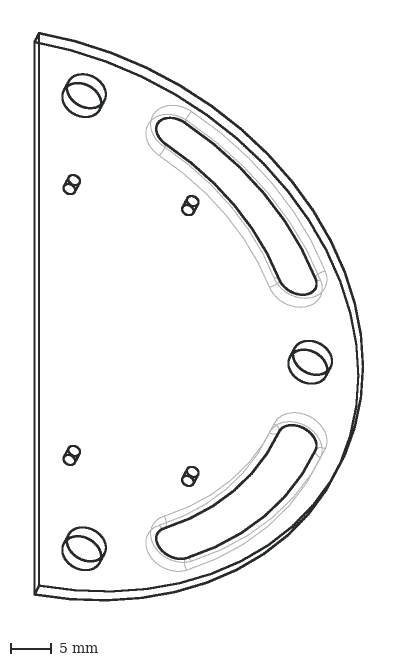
import cadquery as cq
import math

plate_radius = 41.5
thickness = 2.0

mount_diameter = 5.0
mount_corner_x = 6.1
mount_corner_z = 34.0
mount_rim_x = 35.0

pin_diameter = 1.5
pin_columns = (4.5, 19.7)
pin_z = 20.3

slot_path_radius = 35.5
slot_start_angle = 20.0
slot_end_angle = 60.0
slot_neck_width = 5.0
wall_radius = thickness / 2
slot_face_width = slot_neck_width + 2 * wall_radius


def make_plate():
    return (
        cq.Workplane("XZ")
        .moveTo(0, -plate_radius)
        .threePointArc((plate_radius, 0), (0, plate_radius))
        .close()
        .extrude(thickness)
    )


def make_holes(diameter, points):
    return cq.Workplane("XZ").pushPoints(points).circle(diameter / 2).extrude(thickness)


def make_slot_end(angle):
    """Hourglass-shaped round opening at the given angle from +X along the slot path."""
    turn = math.radians(angle)
    centre = (slot_path_radius * math.cos(turn), 0, slot_path_radius * math.sin(turn))
    return (
        cq.Workplane("XY")
        .lineTo(slot_face_width / 2, 0)
        .threePointArc((slot_neck_width / 2, -thickness / 2), (slot_face_width / 2, -thickness))
        .lineTo(0, -thickness)
        .close()
        .revolve(360, (0, 0), (0, 1))
        .translate(centre)
    )


def make_slot():
    """Upper slot: an hourglass section swung about the disc centre, with a round end at each limit."""
    inner_face = slot_path_radius - slot_face_width / 2
    outer_face = slot_path_radius + slot_face_width / 2
    inner_neck = slot_path_radius - slot_neck_width / 2
    outer_neck = slot_path_radius + slot_neck_width / 2
    sweep = (
        cq.Workplane("XY")
        .moveTo(inner_face, 0)
        .lineTo(outer_face, 0)
        .threePointArc((outer_neck, -thickness / 2), (outer_face, -thickness))
        .lineTo(inner_face, -thickness)
        .threePointArc((inner_neck, -thickness / 2), (inner_face, 0))
        .close()
        .revolve(slot_end_angle - slot_start_angle, (0, 0), (0, -1))
        .rotate((0, 0, 0), (0, -1, 0), slot_start_angle)
    )
    return sweep.union(make_slot_end(slot_start_angle)).union(make_slot_end(slot_end_angle))


mount_points = [(mount_corner_x, mount_corner_z), (mount_corner_x, -mount_corner_z), (mount_rim_x, 0)]
pin_points = [(x, z) for x in pin_columns for z in (pin_z, -pin_z)]
upper_slot = make_slot()

result = (
    make_plate()
    .cut(make_holes(mount_diameter, mount_points))
    .cut(make_holes(pin_diameter, pin_points))
    .cut(upper_slot)
    .cut(upper_slot.mirror("XY"))
)